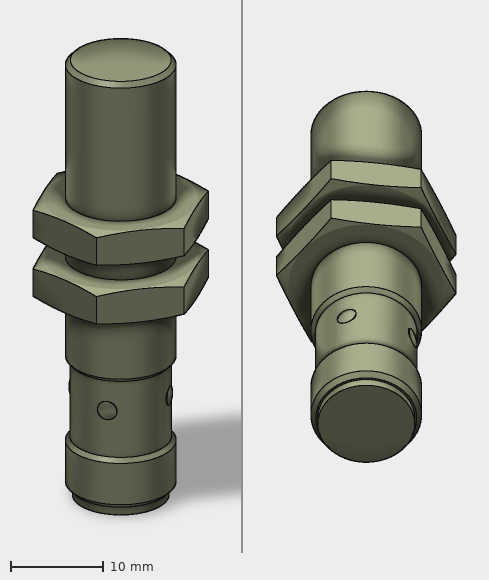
import cadquery as cq
import math

total_height = 52.0
barrel_radius = 12.0 / 2
neck_radius = 11.0 / 2
chamfer_end_radius = 10.9 / 2
foot_radius = 10.5 / 2
foot_height = 1.05
collar_top = 7.0
neck_top = 16.1
neck_chamfer = barrel_radius - neck_radius
end_chamfer = barrel_radius - chamfer_end_radius

lens_count = 4
lens_radius = 2.2 / 2
lens_height = 12.55
lens_bulge = 0.2

nut_width = 17.0
nut_thickness = 4.0
nut_bottoms = (24.5, 31.5)
nut_face_radius = 16.8 / 2
nut_corner_drop = 0.35
nut_corner_radius = nut_width / math.sqrt(3)


def make_barrel():
    """Turned profile: foot, chamfered collar, neck and chamfered main shank."""
    profile = [
        (0, 0),
        (foot_radius, 0),
        (foot_radius, foot_height),
        (chamfer_end_radius, foot_height),
        (barrel_radius, foot_height + end_chamfer),
        (barrel_radius, collar_top - neck_chamfer),
        (neck_radius, collar_top),
        (neck_radius, neck_top),
        (barrel_radius, neck_top + neck_chamfer),
        (barrel_radius, total_height - end_chamfer),
        (chamfer_end_radius, total_height),
        (0, total_height),
    ]
    return cq.Workplane("XZ").polyline(profile).close().revolve(360, (0, 0), (0, 1))


def make_lens():
    """Round stud along +X, starting on the barrel axis and ending in a shallow dome."""
    apex = neck_radius + lens_bulge
    dome_radius = (lens_radius**2 + lens_bulge**2) / (2 * lens_bulge)
    dome_mid_angle = math.asin(lens_radius / dome_radius) / 2
    dome_mid = (
        apex - dome_radius * (1 - math.cos(dome_mid_angle)),
        dome_radius * math.sin(dome_mid_angle),
    )
    return (
        cq.Workplane("XZ")
        .lineTo(apex, 0)
        .threePointArc(dome_mid, (neck_radius, lens_radius))
        .lineTo(0, lens_radius)
        .close()
        .revolve(360, (0, 0), (1, 0))
        .translate((0, 0, lens_height))
    )


def make_sensor():
    """Barrel with the lenses evenly spaced around its neck."""
    sensor = make_barrel()
    for index in range(lens_count):
        angle = index * 360 / lens_count
        sensor = sensor.union(make_lens().rotate((0, 0, 0), (0, 0, 1), angle))
    return sensor


def make_nut(bottom):
    """Hexagon nut with corners along Y, turned-down corners and a bore for the barrel."""
    hexagon = (
        cq.Workplane("XY")
        .polygon(6, 2 * nut_corner_radius)
        .extrude(nut_thickness)
        .rotate((0, 0, 0), (0, 0, 1), 90)
    )
    corner_envelope = (
        cq.Workplane("XZ")
        .polyline([
            (0, 0),
            (nut_face_radius, 0),
            (nut_corner_radius, nut_corner_drop),
            (nut_corner_radius, nut_thickness - nut_corner_drop),
            (nut_face_radius, nut_thickness),
            (0, nut_thickness),
        ])
        .close()
        .revolve(360, (0, 0), (0, 1))
    )
    bore = cq.Workplane("XY").circle(barrel_radius).extrude(nut_thickness)
    return hexagon.intersect(corner_envelope).cut(bore).translate((0, 0, bottom))


sensor = make_sensor()
nuts = [make_nut(bottom) for bottom in nut_bottoms]

result = cq.Compound.makeCompound([sensor.val(), *[nut.val() for nut in nuts]])